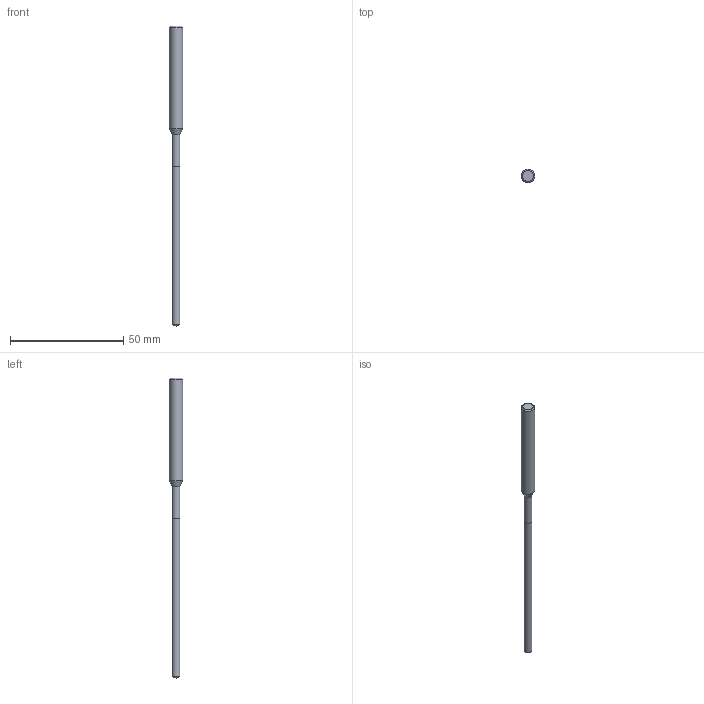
import cadquery as cq
import math

shank_diameter = 6.0
drill_diameter = 3.5
point_angle = 140.0
shoulder_half_angle = 25.0
cutting_length = 70.0
shank_body_length = 62.0
neck_length = 14.0
end_chamfer = 0.6

shank_radius = shank_diameter / 2
drill_radius = drill_diameter / 2
point_height = drill_radius / math.tan(math.radians(point_angle / 2))
shoulder_length = (shank_radius - drill_radius) / math.tan(math.radians(shoulder_half_angle))
cutting_top = point_height + cutting_length
neck_top = cutting_top + neck_length
shoulder_top = neck_top + shoulder_length
shank_top = cutting_top + shank_body_length


def revolve_about_z(profile_points):
    """Turn a closed (radius, height) profile through a full circle about Z."""
    axis_start = (0, 0, 0)
    axis_end = (0, 1, 0)
    return cq.Workplane("XZ").polyline(profile_points).close().revolve(360, axis_start, axis_end)


def make_cutting_body():
    """Cylindrical cutting body ending in a conical point."""
    return revolve_about_z([
        (0, 0),
        (drill_radius, point_height),
        (drill_radius, cutting_top),
        (0, cutting_top),
    ])


def make_shank():
    """Neck, shoulder cone and chamfered shank, seated on top of the cutting body."""
    return revolve_about_z([
        (0, cutting_top),
        (drill_radius, cutting_top),
        (drill_radius, neck_top),
        (shank_radius, shoulder_top),
        (shank_radius, shank_top - end_chamfer),
        (shank_radius - end_chamfer, shank_top),
        (0, shank_top),
    ])


cutting_body = make_cutting_body()
shank = make_shank()

result = cq.Compound.makeCompound([cutting_body.val(), shank.val()])